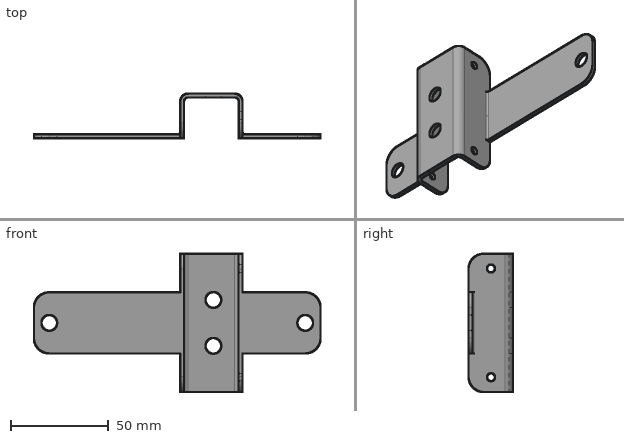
import cadquery as cq

length = 147.0
depth = 23.0
height = 71.0
thickness = 2.0
corner_radius = 8.0

arm_height = 31.5
root_fillet = 0.9
arm_hole_diameter = 8.0
arm_hole_inset = 8.0

channel_left = 75.0
channel_width = 32.0
channel_right = channel_left + channel_width
bend_inner_radius = 2.0
bend_outer_radius = bend_inner_radius + thickness

back_hole_diameter = 8.0
back_hole_spacing = 23.5
back_hole_offset = 1.0
back_hole_x = channel_left + channel_width / 2 + back_hole_offset

side_hole_diameter = 4.0
side_hole_y = 11.6
side_hole_inset = 7.6


def make_channel():
    """Bent channel with the front corners of its side walls rounded."""
    outer = (
        cq.Workplane("XY")
        .box(channel_width, depth, height, centered=(False, False, True))
        .translate((channel_left, 0, 0))
        .edges("|Z and >Y")
        .fillet(bend_outer_radius)
    )
    inner = (
        cq.Workplane("XY")
        .box(channel_width - 2 * thickness, depth - thickness, height, centered=(False, False, True))
        .translate((channel_left + thickness, 0, 0))
        .edges("|Z and >Y")
        .fillet(bend_inner_radius)
    )
    return outer.cut(inner).edges("|X and <Y and (>Z or <Z)").fillet(corner_radius)


def make_arm(start, end, outer_side):
    """Flat arm whose two outer corners are rounded."""
    return (
        cq.Workplane("XY")
        .box(end - start, thickness, arm_height, centered=(False, False, True))
        .translate((start, 0, 0))
        .edges(f"|Y and {outer_side}X")
        .fillet(corner_radius)
    )


def make_root_fillet(wall_x, direction):
    """Concave fillet strip between an arm's back face and a channel wall."""
    tangent_x = wall_x + direction * root_fillet
    tangent_y = thickness + root_fillet
    strip = (
        cq.Workplane("XY")
        .box(root_fillet, root_fillet, arm_height)
        .translate((wall_x + direction * root_fillet / 2, thickness + root_fillet / 2, 0))
    )
    hollow = (
        cq.Workplane("XY")
        .center(tangent_x, tangent_y)
        .circle(root_fillet)
        .extrude(arm_height / 2, both=True)
    )
    return strip.cut(hollow)


def drill_y(points, diameter):
    """Cylinders along Y, through the full depth, at the given (x, z) points."""
    return cq.Workplane("XZ").pushPoints(points).circle(diameter / 2).extrude(-depth)


bracket = (
    make_channel()
    .union(make_arm(0, channel_left + thickness, "<"))
    .union(make_arm(channel_right - thickness, length, ">"))
    .union(make_root_fillet(channel_left, -1))
    .union(make_root_fillet(channel_right, 1))
)

arm_holes = drill_y([(arm_hole_inset, 0), (length - arm_hole_inset, 0)], arm_hole_diameter)
back_holes = drill_y(
    [(back_hole_x, side * back_hole_spacing / 2) for side in (-1, 1)], back_hole_diameter
)
side_hole_z = height / 2 - side_hole_inset
side_holes = (
    cq.Workplane("YZ")
    .pushPoints([(side_hole_y, -side_hole_z), (side_hole_y, side_hole_z)])
    .circle(side_hole_diameter / 2)
    .extrude(length)
)

result = bracket.cut(arm_holes).cut(back_holes).cut(side_holes)